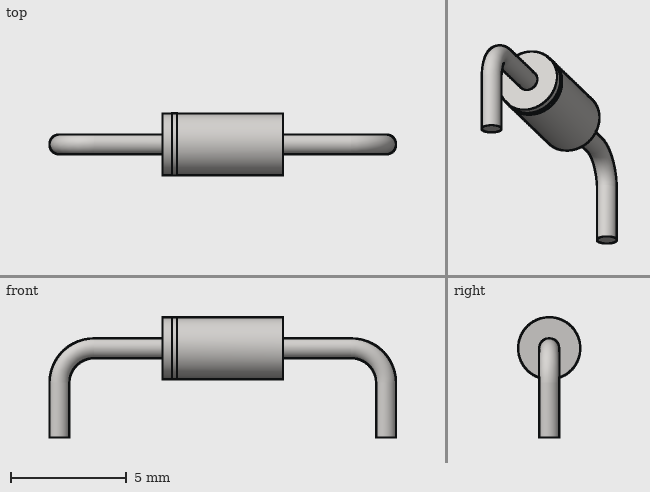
import cadquery as cq


overall_length = 15.01
overall_height = 5.22
body_diameter = 2.69
body_length = 5.22
band_diameter = 2.7
band_width = 0.23
band_offset = 0.4
lead_diameter = 0.87
bend_radius = 1.5

body_end = body_length / 2
lead_radius = lead_diameter / 2
leg_x = overall_length / 2 - lead_radius
bend_start_x = leg_x - bend_radius
lead_bottom = band_diameter / 2 - overall_height


def make_body():
    """Plain cylinder along X."""
    return cq.Workplane("YZ", origin=(-body_end, 0, 0)).circle(body_diameter / 2).extrude(body_length)


def make_band():
    """Thin polarity ring wrapped around the body."""
    return (
        cq.Workplane("YZ", origin=(-body_end + band_offset, 0, 0))
        .circle(band_diameter / 2)
        .circle(body_diameter / 2)
        .extrude(band_width)
    )


def make_lead(side):
    """Round wire from one body end face, bent down; side is -1 or +1 along X."""
    path = (
        cq.Workplane("XZ")
        .moveTo(side * body_end, 0)
        .lineTo(side * bend_start_x, 0)
        .tangentArcPoint((side * leg_x, -bend_radius), relative=False)
        .lineTo(side * leg_x, lead_bottom)
    )
    return cq.Workplane("YZ", origin=(side * body_end, 0, 0)).circle(lead_radius).sweep(path)


body = make_body()
band = make_band()
leads = [make_lead(side) for side in (-1, 1)]

result = cq.Compound.makeCompound([body.val(), band.val(), *[lead.val() for lead in leads]])